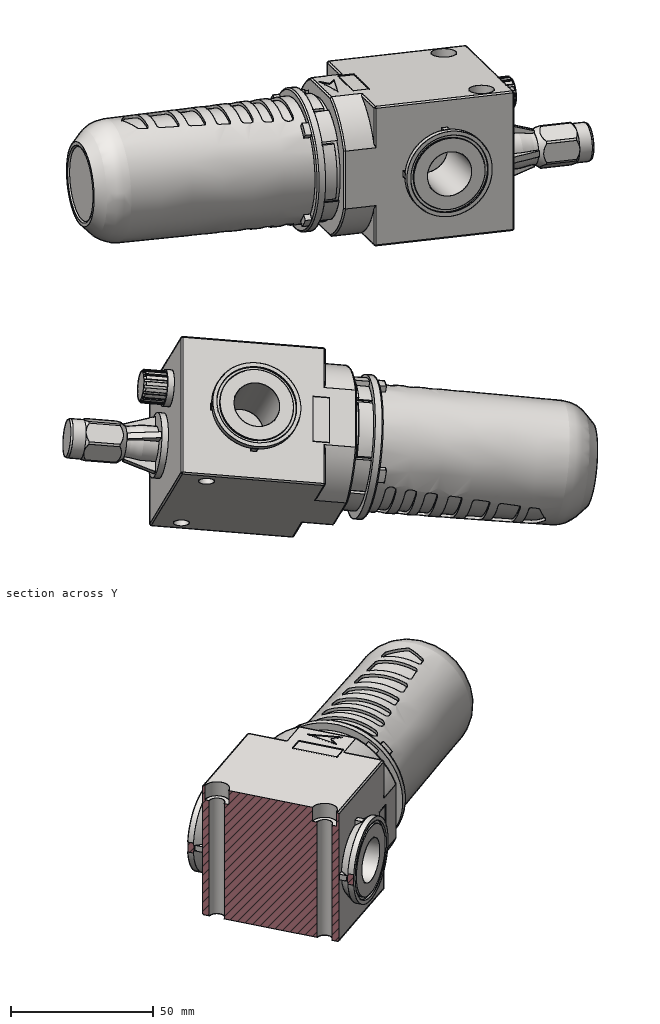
import cadquery as cq
import math


body_width = 52.0
half_width = body_width / 2
body_end = -37.3
skirt_radius = 28.2
edge_chamfer = 0.5

overlap = 1.9

mount_x = 20.5
mount_y = 15.7
mount_radius = 2.8
mount_head_radius = 4.5
mount_head_depth = 5.6

mark_depth = 0.4
label_length = 17.0
label_width = 6.0
label_offset = -1.3
label_y = -24.5
arrow_y = -32.8
arrow_half_length = 6.2
arrow_half_width = 2.8
arrow_notch = 3.4

port_span = 63.2
port_face = port_span / 2
port_radius = 15.9
port_rim = 2.2
port_neck_radius = 13.5
port_bore_radius = 8.2
port_bore_depth = 26.1
seal_outer_radius = 14.4
seal_inner_radius = 13.2
seal_depth = 1.0
port_tab_width = 2.2
port_tab_radius = 15.5

neck_radius = 22.8
neck_recess_depth = 1.0
neck_recess_level = 15.0
recess_left, recess_right = -12.5, 9.5
pad_left, pad_right = -11.5, 8.4
pad_start = -38.8
ring_start, ring_end = -44.0, -47.0
ring_radius = 25.5
ring_chamfer = 0.5
hook_end = -49.5
hook_radius = 25.0
hook_width = 4.8
lug_radius = 24.6
lug_width = 4.8
lug_angle = -36
catch_radius = 24.2

bowl_tip = -126.5
dome_start = -114.9
bowl_end_radius = 22.0
dome_radius = 11.2
dome_angle = math.radians(45)
tip_recess_radius = 13.2
tip_recess_depth = 0.5
tip_recess_slope = 0.5

grip_slots = [
    (-51.0, 4.0, 1.9),
    (-58.2, 4.1, 1.5),
    (-65.5, 4.5, 1.5),
    (-73.9, 5.0, 1.0),
    (-82.8, 6.3, 1.1),
    (-92.3, 8.0, 1.1),
]
grip_depth = 1.1
grip_half_width = 12.3
grip_taper = 0.09
tip_slot_start, tip_slot_shoulder, tip_slot_point = -103.5, -107.2, -111.2
tip_slot_corner = 1.0

sight_x, sight_z = 6.3, -3.2
sight_base_radius = 11.5
sight_base_top = 28.3
sight_radius = 6.7
sight_straight_top = 33.8
waist_radius = 6.0
waist_start, waist_end = 38.2, 39.7
hex_start, hex_end = 41.2, 54.6
hex_flats = 14.0
hex_corner_radius = 7.8
hex_chamfer = 1.1
plug_end = 60.0
plug_edge = 0.7
fin_width = 2.2
fin_foot = 10.5

knob_x, knob_z = -8.4, 12.9
knob_radius = 6.0
knob_collar_radius = 6.5
knob_collar_top = 28.3
knob_end = 36.7
knob_edge = 0.7
flute_count = 16
flute_width = 1.0
flute_depth = 0.5


def turned(profile):
    """Revolve an (r, y) profile about the Y axis."""
    return cq.Workplane("XY").polyline(profile).close().revolve(360, (0, 0), (0, 1))


def disc(radius, y0, y1):
    return turned([(0, y0), (radius, y0), (radius, y1), (0, y1)])


def block(x0, x1, y0, y1, z0, z1):
    corner = cq.Vector(x0, y0, z0)
    return cq.Workplane(cq.Solid.makeBox(x1 - x0, y1 - y0, z1 - z0, corner))


def spun(shape, angle):
    return shape.rotate((0, 0, 0), (0, 1, 0), angle)


def four_around(shape, first_angle=0):
    copies = spun(shape, first_angle)
    for quarter in range(1, 4):
        copies = copies.union(spun(shape, first_angle + 90 * quarter))
    return copies


def make_body():
    cube = block(-half_width, half_width, -half_width, half_width, -half_width, half_width)
    cube = cube.edges().chamfer(edge_chamfer)
    skirt = disc(skirt_radius, body_end, -half_width + overlap).faces("<Y").chamfer(edge_chamfer)
    square = block(-half_width, half_width, body_end, 0, -half_width, half_width)
    square = square.faces("<Y").chamfer(edge_chamfer)
    return cube.union(skirt.intersect(square))


def make_mount_holes():
    points = [(-mount_x, mount_y), (mount_x, mount_y)]
    floor = half_width - mount_head_depth
    holes = cq.Workplane("XY").workplane(offset=-half_width).pushPoints(points)
    holes = holes.circle(mount_radius).extrude(2 * half_width)
    heads = cq.Workplane("XY").workplane(offset=floor).pushPoints(points)
    return holes.union(heads.circle(mount_head_radius).extrude(mount_head_depth))


def make_markings():
    face = cq.Workplane("XY").workplane(offset=half_width - mark_depth)
    label = face.center(label_offset, label_y).rect(label_length, label_width).extrude(overlap)
    arrow = face.polyline([
        (arrow_half_length, arrow_y),
        (-arrow_half_length, arrow_y + arrow_half_width),
        (-arrow_half_length + arrow_notch, arrow_y),
        (-arrow_half_length, arrow_y - arrow_half_width),
    ]).close().extrude(overlap)
    return label.union(arrow).union(spun(label, -90))


def make_port():
    """Port flange built along +Y, standing on the body face."""
    rim_back = port_face - port_rim
    flange = turned([
        (0, 0), (port_neck_radius, 0), (port_neck_radius, half_width),
        (port_radius, rim_back), (port_radius, port_face), (0, port_face),
    ])
    tab = block(-port_tab_width / 2, port_tab_width / 2, half_width - overlap, rim_back, 0, port_tab_radius)
    seal_floor = port_face - seal_depth
    seal = disc(seal_outer_radius, seal_floor, port_face + overlap)
    seal = seal.cut(disc(seal_inner_radius, seal_floor, port_face + overlap))
    return flange.union(four_around(tab)).cut(seal)


def make_neck():
    """Recessed neck with a pad on each side, plus the catch and lug at one corner."""
    core = disc(neck_radius - neck_recess_depth, ring_end, body_end + overlap)
    recess = block(recess_left, recess_right, ring_start, body_end + overlap, neck_recess_level, neck_radius)
    pad = block(pad_left, pad_right, ring_start, pad_start, neck_recess_level, neck_radius)
    shell = disc(neck_radius, ring_end, body_end + overlap)
    catch = disc(catch_radius, pad_start, body_end + overlap)
    catch = catch.intersect(
        block(-catch_radius, recess_left, pad_start, body_end + overlap, recess_right, catch_radius))
    lug = disc(lug_radius, ring_start, pad_start)
    lug = lug.intersect(block(-lug_width / 2, lug_width / 2, ring_start, pad_start, 0, lug_radius))
    shell = shell.cut(four_around(recess.cut(pad)))
    return shell.union(core).union(catch).union(spun(lug, lug_angle))


def make_ring():
    hook = disc(hook_radius, hook_end, ring_start)
    hook = hook.intersect(block(-hook_width / 2, hook_width / 2, hook_end, ring_start, 0, hook_radius))
    ring = disc(ring_radius, ring_end, ring_start).faces("<Y").chamfer(ring_chamfer)
    return ring.union(four_around(hook, 45))


def dome_point(angle):
    radius = bowl_end_radius - dome_radius * (1 - math.cos(angle))
    return radius, dome_start - dome_radius * math.sin(angle)


def make_bowl():
    cone_radius, cone_y = dome_point(dome_angle)
    tip_radius = cone_radius - (cone_y - bowl_tip) * math.tan(dome_angle)
    recess_floor = bowl_tip + tip_recess_depth
    return (
        cq.Workplane("XY")
        .moveTo(0, ring_start)
        .lineTo(neck_radius, ring_start)
        .lineTo(bowl_end_radius, dome_start)
        .threePointArc(dome_point(dome_angle / 2), (cone_radius, cone_y))
        .lineTo(tip_radius, bowl_tip)
        .lineTo(tip_recess_radius + tip_recess_slope, bowl_tip)
        .lineTo(tip_recess_radius, recess_floor)
        .lineTo(0, recess_floor)
        .close()
        .revolve(360, (0, 0), (0, 1))
    )


def grip_half_width_at(y):
    return grip_half_width - grip_taper * (grip_slots[0][0] - y)


def slot_prism(right_side, corner):
    """Upright prism over an outline mirrored about the Y axis, with rounded corners."""
    left_side = [(-x, y) for x, y in reversed(right_side) if x > 0]
    prism = cq.Workplane("XY").polyline(right_side + left_side).close()
    return prism.extrude(neck_radius + overlap).edges("|Z").fillet(corner)


def make_grip_slots():
    slots = cq.Workplane("XY")
    for start, length, corner in grip_slots:
        ends = [(grip_half_width_at(y), y) for y in (start, start - length)]
        slots = slots.add(slot_prism(ends, corner))
    tip_slot = slot_prism([
        (grip_half_width_at(tip_slot_start), tip_slot_start),
        (grip_half_width_at(tip_slot_shoulder), tip_slot_shoulder),
        (0, tip_slot_point),
    ], tip_slot_corner)
    core = turned([
        (0, ring_start),
        (neck_radius - grip_depth, ring_start),
        (bowl_end_radius - grip_depth, dome_start),
        (0, dome_start),
    ])
    upper = slots.add(tip_slot).combine().cut(core)
    return upper.union(spun(upper, 180))


def make_sight_dome():
    plug_radius = hex_flats / 2
    stem = turned([
        (0, half_width - overlap), (sight_base_radius, half_width - overlap),
        (sight_base_radius, sight_base_top), (sight_radius, sight_base_top),
        (sight_radius, sight_straight_top), (waist_radius, waist_start),
        (waist_radius, waist_end), (plug_radius, hex_start), (plug_radius, plug_end - plug_edge),
        (plug_radius - plug_edge / 2, plug_end), (0, plug_end),
    ])
    hexagon = cq.Workplane("XZ").polygon(6, 2 * hex_flats / math.sqrt(3)).extrude(hex_start - hex_end)
    hexagon = spun(hexagon, 30).translate((0, hex_start, 0))
    hex_blank = turned([
        (0, hex_start), (plug_radius, hex_start), (hex_corner_radius, hex_start + hex_chamfer),
        (hex_corner_radius, hex_end - hex_chamfer), (plug_radius, hex_end), (0, hex_end),
    ])
    fin = cq.Workplane("XY").polyline([
        (0, sight_base_top), (fin_foot, sight_base_top), (sight_radius, waist_end), (0, waist_end),
    ]).close().extrude(fin_width / 2, both=True)
    dome = stem.union(hexagon.intersect(hex_blank)).union(four_around(fin))
    return dome.translate((sight_x, 0, sight_z))


def make_knob():
    knob = turned([
        (0, half_width - overlap), (knob_collar_radius, half_width - overlap),
        (knob_collar_radius, knob_collar_top), (knob_radius, knob_collar_top),
        (knob_radius, knob_end - knob_edge), (knob_radius - knob_edge, knob_end), (0, knob_end),
    ])
    flute = block(-flute_width / 2, flute_width / 2, knob_collar_top, knob_end,
                  knob_radius - flute_depth, knob_radius + flute_depth)
    for index in range(flute_count):
        knob = knob.cut(spun(flute, index * 360 / flute_count))
    return knob.translate((knob_x, 0, knob_z))


result = make_body()
result = result.union(make_neck()).union(make_bowl().cut(make_grip_slots())).union(make_ring())
result = result.union(make_sight_dome()).union(make_knob())

port = make_port()
port_bore = disc(port_bore_radius, port_face - port_bore_depth, port_face)
for turn in (-90, 90):
    result = result.union(port.rotate((0, 0, 0), (0, 0, 1), turn))
    result = result.cut(port_bore.rotate((0, 0, 0), (0, 0, 1), turn))

result = result.cut(make_mount_holes()).cut(make_markings())